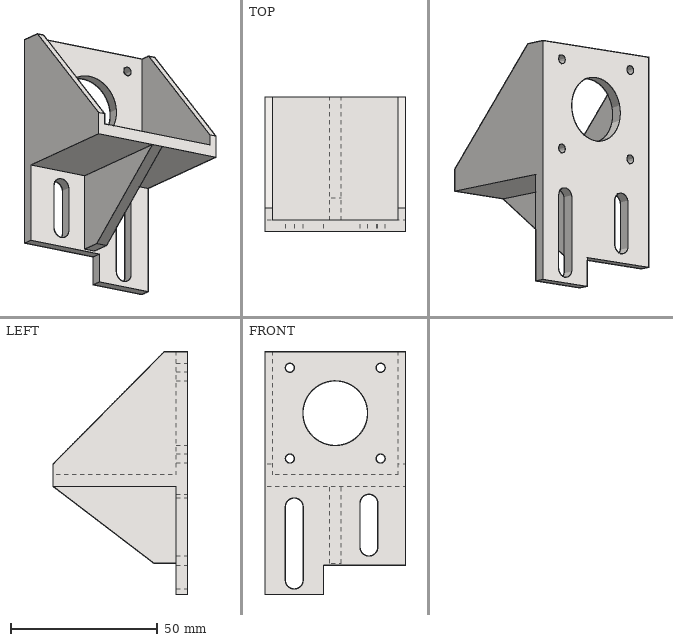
import cadquery as cq

width = 48.0
height = 83.0
plate_thickness = 4.0
foot_width = 20.0
notch_height = 10.0

motor_drop = 21.0
motor_x = width / 2
motor_z = height - motor_drop
pilot_diameter = 22.0
screw_diameter = 3.0
screw_pitch = 31.0

slot_width = 6.0
left_slot_x = 10.0
left_slot_bottom = 2.0
left_slot_length = 31.0
right_slot_x = 35.5
right_slot_bottom = 13.25
right_slot_length = 21.0

depth = 46.0
wall_thickness = 2.5
floor_thickness = 4.0
floor_bottom = 37.0
wall_rear_height = 7.6
wall_top_depth = 8.0

gusset_thickness = 4.0
gusset_bottom = 10.7
gusset_bottom_depth = 11.5


def make_plate():
    """Upright plate with the lower +X corner stepped away."""
    outline = [
        (0, 0),
        (foot_width, 0),
        (foot_width, notch_height),
        (width, notch_height),
        (width, height),
        (0, height),
    ]
    return cq.Workplane("XZ").polyline(outline).close().extrude(-plate_thickness)


def make_sheet(outline, x_start, thickness):
    """Upright sheet with a (Y, Z) outline, reaching from x_start toward +X."""
    sheet = cq.Workplane("YZ", origin=(x_start, 0, 0)).polyline(outline).close()
    return sheet.extrude(thickness)


def make_side_wall(x_start):
    """Side wall whose rear upper corner slopes down to the floor."""
    outline = [
        (0, floor_bottom),
        (depth, floor_bottom),
        (depth, floor_bottom + wall_rear_height),
        (wall_top_depth, height),
        (0, height),
    ]
    return make_sheet(outline, x_start, wall_thickness)


def make_gusset():
    """Sloping brace that carries the floor from below."""
    outline = [
        (0, gusset_bottom),
        (gusset_bottom_depth, gusset_bottom),
        (depth, floor_bottom),
        (0, floor_bottom),
    ]
    return make_sheet(outline, (width - gusset_thickness) / 2, gusset_thickness)


def make_floor():
    """Horizontal floor joining both side walls and the plate."""
    floor = cq.Workplane("XY", origin=(0, 0, floor_bottom))
    return floor.rect(width, depth, centered=False).extrude(floor_thickness)


def make_motor_holes():
    """Pilot bore and four screw holes through the plate."""
    face = cq.Workplane("XZ", origin=(motor_x, 0, motor_z))
    pilot = face.circle(pilot_diameter / 2).extrude(-plate_thickness)
    screws = face.rect(screw_pitch, screw_pitch, forConstruction=True).vertices()
    return pilot.union(screws.circle(screw_diameter / 2).extrude(-plate_thickness))


def make_slot(x_centre, bottom, length):
    """Vertical round-ended slot through the plate."""
    vertical = 90
    face = cq.Workplane("XZ", origin=(x_centre, 0, bottom + length / 2))
    return face.slot2D(length, slot_width, vertical).extrude(-plate_thickness)


result = make_plate()
result = result.union(make_side_wall(0))
result = result.union(make_side_wall(width - wall_thickness))
result = result.union(make_gusset())
result = result.union(make_floor())
result = result.cut(make_motor_holes())
result = result.cut(make_slot(left_slot_x, left_slot_bottom, left_slot_length))
result = result.cut(make_slot(right_slot_x, right_slot_bottom, right_slot_length))